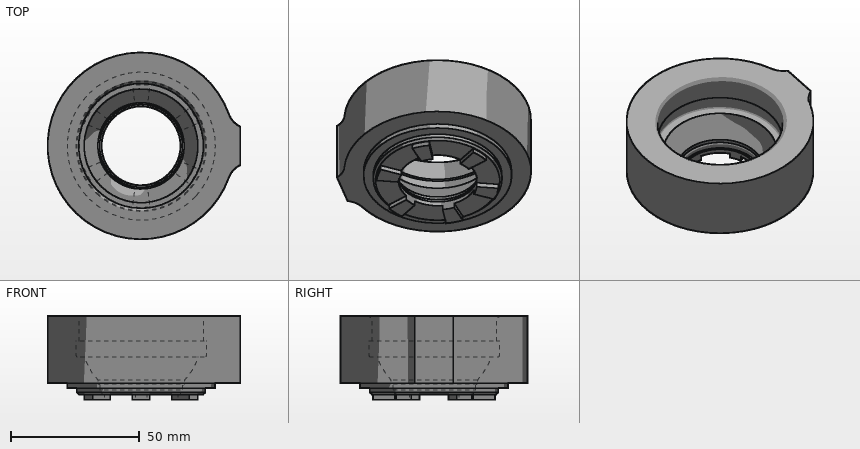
import cadquery as cq
import math

body_bottom = -26.0
flange_bottom = -28.0
spigot_bottom = -30.5
lug_bottom = -32.5

body_radius = 72.5 / 2
flange_radius = 57.4 / 2
spigot_radius = 49.9 / 2
spigot_chamfer = 0.9

tab_reach = 74.75 - body_radius
tab_half_width = 7.5
tab_blend_radius = 8.6

mouth_radius = 48.4 / 2
mouth_round = 1.9
recess_radius = 50.5 / 2
recess_top = -9.65
recess_floor = -15.9
corner_round = 0.75
bowl_rim_radius = 44.1 / 2
bowl_bottom = -24.8
counterbore_radius = 33.5 / 2
counterbore_bottom = -26.3
seat_round = 0.7
seat_floor = -28.55
through_radius = 30.5 / 2

lug_count = 6
lug_start_angle = 30.0
lug_outer_radius = 23.8
lug_outer_half_width = 3.45
lug_inner_half_width = 2.3


def disc(radius, top, bottom):
    """Solid cylinder about Z between two heights."""
    return cq.Workplane("XY").workplane(offset=bottom).circle(radius).extrude(top - bottom)


def make_tab():
    """Tab whose concave flanks run tangent into the round body."""
    centre_distance = body_radius + tab_blend_radius
    corner_distance = math.hypot(tab_reach, tab_half_width)
    corner_angle = math.atan2(tab_half_width, tab_reach)
    cos_offset = (centre_distance**2 + corner_distance**2 - tab_blend_radius**2) / (
        2 * centre_distance * corner_distance
    )
    centre_angle = corner_angle + math.acos(cos_offset)
    tangent_x = body_radius * math.cos(centre_angle)
    tangent_y = body_radius * math.sin(centre_angle)
    return (
        cq.Workplane("XY")
        .workplane(offset=body_bottom)
        .moveTo(0, 0)
        .lineTo(tangent_x, -tangent_y)
        .radiusArc((tab_reach, -tab_half_width), tab_blend_radius)
        .lineTo(tab_reach, tab_half_width)
        .radiusArc((tangent_x, tangent_y), tab_blend_radius)
        .close()
        .extrude(-body_bottom)
    )


def make_lugs():
    """Ring of tapered lugs with a rounded outer end."""
    taper = (lug_outer_half_width - lug_inner_half_width) / (lug_outer_radius - through_radius)
    inner_end = through_radius / 2
    outer_end = lug_outer_radius + through_radius / 2
    inner_half = lug_inner_half_width - taper * (through_radius - inner_end)
    outer_half = lug_outer_half_width + taper * (outer_end - lug_outer_radius)
    wedge = (
        cq.Workplane("XY")
        .workplane(offset=lug_bottom)
        .polyline(
            [
                (inner_end, -inner_half),
                (outer_end, -outer_half),
                (outer_end, outer_half),
                (inner_end, inner_half),
            ]
        )
        .close()
        .extrude(flange_bottom - lug_bottom)
    )
    lug = wedge.intersect(disc(lug_outer_radius, flange_bottom, lug_bottom))
    step = 360.0 / lug_count
    return [lug.rotate((0, 0, 0), (0, 0, 1), lug_start_angle + i * step) for i in range(lug_count)]


def make_bore():
    """Revolved cavity: rounded mouth, recess, spherical bowl, counterbore, seat and hole."""
    bowl_centre = (
        bowl_rim_radius**2 + recess_floor**2 - counterbore_radius**2 - bowl_bottom**2
    ) / (2 * (recess_floor - bowl_bottom))
    bowl_radius = math.hypot(bowl_rim_radius, recess_floor - bowl_centre)
    mid_radius = (bowl_rim_radius + counterbore_radius) / 2
    mid_height = bowl_centre - math.sqrt(bowl_radius**2 - mid_radius**2)
    seat_radius = counterbore_radius - seat_round
    return (
        cq.Workplane("XZ")
        .moveTo(0, 0)
        .lineTo(mouth_radius + mouth_round, 0)
        .radiusArc((mouth_radius, -mouth_round), -mouth_round)
        .lineTo(mouth_radius, recess_top)
        .lineTo(recess_radius, recess_top)
        .lineTo(recess_radius, recess_floor + corner_round)
        .radiusArc((recess_radius - corner_round, recess_floor), corner_round)
        .lineTo(bowl_rim_radius, recess_floor)
        .threePointArc((mid_radius, mid_height), (counterbore_radius, bowl_bottom))
        .lineTo(counterbore_radius, counterbore_bottom)
        .radiusArc((seat_radius, counterbore_bottom - seat_round), -seat_round)
        .lineTo(seat_radius, seat_floor)
        .lineTo(through_radius, seat_floor)
        .lineTo(through_radius, lug_bottom)
        .lineTo(0, lug_bottom)
        .close()
        .revolve(360, (0, 0, 0), (0, 1, 0))
    )


body = disc(body_radius, 0, body_bottom).union(make_tab())
flange = disc(flange_radius, body_bottom, flange_bottom)
spigot = (
    disc(spigot_radius, flange_bottom, spigot_bottom)
    .faces("<Z")
    .chamfer(spigot_chamfer)
)

result = body.union(flange).union(spigot)
for lug in make_lugs():
    result = result.union(lug)
result = result.cut(make_bore())